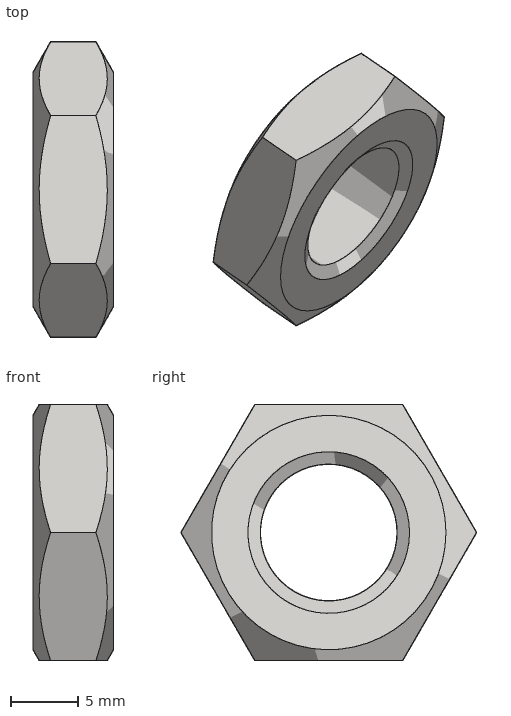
import cadquery as cq
import math

across_corners = 21.95
thickness = 6.0
face_diameter = 17.38
bore_diameter = 10.11
countersink_diameter = 11.98
chamfer_angle = math.radians(30)
countersink_angle = math.radians(30)

half_thickness = thickness / 2
corner_radius = across_corners / 2
face_radius = face_diameter / 2
bore_radius = bore_diameter / 2
countersink_radius = countersink_diameter / 2
chamfer_depth = (corner_radius - face_radius) * math.tan(chamfer_angle)
countersink_depth = (countersink_radius - bore_radius) * math.tan(countersink_angle)


def hexagonal_prism():
    return cq.Workplane("YZ").polygon(6, across_corners).extrude(half_thickness, both=True)


def turned_envelope():
    """Revolved ring with the conical outer chamfers, the bore and its countersinks."""
    profile = [
        (-half_thickness, countersink_radius),
        (-half_thickness, face_radius),
        (-half_thickness + chamfer_depth, corner_radius),
        (half_thickness - chamfer_depth, corner_radius),
        (half_thickness, face_radius),
        (half_thickness, countersink_radius),
        (half_thickness - countersink_depth, bore_radius),
        (-half_thickness + countersink_depth, bore_radius),
    ]
    return cq.Workplane("XY").polyline(profile).close().revolve(360, (0, 0, 0), (1, 0, 0))


result = hexagonal_prism().intersect(turned_envelope())